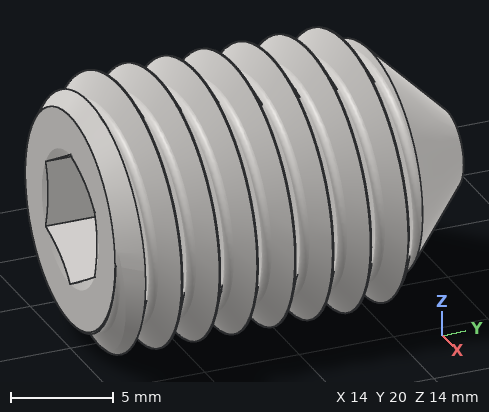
import cadquery as cq
import math

length = 20.0
major_diameter = 14.0
pitch = 2.0
crest_width = 0.05
root_arc = 0.3
flank_angle = 30.0
crest_offset = 0.95
rod_overrun = 3 * pitch
tip_diameter = 4.0
face_diameter = 11.2
socket_flats = 6.1
socket_depth = 8.0
socket_chamfer_angle = 15.0
groove_overrun = 0.05

major_radius = major_diameter / 2
tip_radius = tip_diameter / 2
face_radius = face_diameter / 2
tip_length = major_radius - tip_radius
face_chamfer = major_radius - face_radius


def turned(points):
    """Revolve a radius/height outline around Z."""
    return cq.Workplane("XZ").polyline(points).close().revolve(360, (0, 0, 0), (0, 1, 0))


def blank():
    """Unthreaded screw: face chamfer, straight body and conical point."""
    return turned([
        (0, 0),
        (face_radius, 0),
        (major_radius, face_chamfer),
        (major_radius, length - tip_length),
        (tip_radius, length),
        (0, length),
    ])


def thread_groove():
    """Right-hand helical groove with a rounded root, overrunning both ends of the body."""
    start = crest_offset - 1.5 * pitch
    turns = math.ceil((length - start) / pitch)
    flank = math.radians(flank_angle)
    mouth_half = (pitch - crest_width) / 2
    apex_radius = major_radius - mouth_half / math.tan(flank)
    arc_center = apex_radius + root_arc / math.sin(flank)
    tangent_radius = arc_center - root_arc * math.sin(flank)
    tangent_half = root_arc * math.cos(flank)
    outer_radius = major_radius + groove_overrun
    outer_half = mouth_half + groove_overrun * math.tan(flank)
    profile = (
        cq.Workplane("XZ")
        .moveTo(outer_radius, -outer_half)
        .lineTo(tangent_radius, -tangent_half)
        .threePointArc((arc_center - root_arc, 0), (tangent_radius, tangent_half))
        .lineTo(outer_radius, outer_half)
        .close()
    )
    helix = cq.Wire.makeHelix(pitch, turns * pitch, arc_center)
    return profile.sweep(cq.Workplane(helix), isFrenet=True).translate((0, 0, start))


def hex_socket():
    """Hexagon with corners on the local Y axis and a countersink reaching its corners."""
    corner_radius = socket_flats / math.sqrt(3)
    hexagon = (
        cq.Workplane("XY")
        .polygon(6, 2 * corner_radius)
        .extrude(socket_depth)
        .rotate((0, 0, 0), (0, 0, 1), 90)
    )
    sink_depth = corner_radius * math.tan(math.radians(socket_chamfer_angle))
    return hexagon.union(turned([(0, 0), (corner_radius, 0), (0, sink_depth)]))


rod = cq.Workplane("XY").workplane(offset=-rod_overrun).circle(major_radius).extrude(length + 2 * rod_overrun)
screw = rod.cut(thread_groove()).intersect(blank()).cut(hex_socket())

result = screw.rotate((0, 0, 0), (1, 0, 0), -90).translate((0, -length / 2, 0))